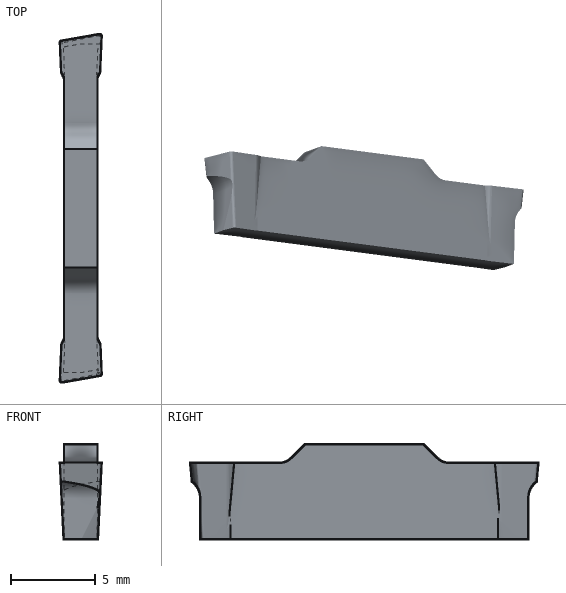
import cadquery as cq
import math


overall_length = 20.7
overall_height = 5.65
cutting_width = 2.5
rake_height = 4.55

body_width = 2.0
body_half_length = 7.95
rib_top_half_length = 3.53
rib_flank_angle = 45.0
rib_foot_radius = 1.0

lead_angle = 10.0
front_relief_angle = 5.0
side_relief_angle = 2.6
back_taper_angle = 2.5
corner_radius = 0.15
neck_y = 8.08
neck_radius = 0.35
flare_angle = 26.0
flare_run = 0.6
neck_fill_y = 8.2

heel_half_length = 9.75
step_height = 2.47
step_radius = 1.2


def tangent(angle):
    return math.tan(math.radians(angle))


corner_center_x = cutting_width / 2 - corner_radius
lead_corner_y = -overall_length / 2 + corner_radius
corner_center_y = {
    -1: lead_corner_y,
    1: lead_corner_y + 2 * corner_center_x * tangent(lead_angle),
}
edge_offset = corner_radius / math.cos(math.radians(lead_angle))
edge_y_at_center = (corner_center_y[-1] + corner_center_y[1]) / 2 - edge_offset


def flank_x(side, y, z):
    """X of the flank on side -1 or +1 of the -Y head, at a given Y and height."""
    taper = (y - corner_center_y[side]) * tangent(back_taper_angle)
    draft = (rake_height - z) * tangent(side_relief_angle)
    return side * (cutting_width / 2 - taper - draft)


def front_corner(side, z):
    """Sharp corner between the front face and the flank on the given side."""
    front_y = edge_y_at_center + (rake_height - z) * tangent(front_relief_angle)
    slope = tangent(lead_angle)
    y = (front_y + slope * flank_x(side, 0, z)) / (1 + side * slope * tangent(back_taper_angle))
    return flank_x(side, y, z), y


def neck_corner(side, z):
    """Sharp corner between the flank and the neck flare on the given side."""
    return flank_x(side, -neck_y, z), -neck_y


def flare_root(side, z):
    """Inner end of the neck flare, inside the body."""
    neck_x = neck_corner(side, z)[0]
    return neck_x - side * flare_run * tangent(flare_angle), flare_run - neck_y


def straight_outline(z):
    """Head outline whose flanks run straight back to the end of the body."""
    return [
        front_corner(-1, z),
        front_corner(1, z),
        (flank_x(1, -body_half_length, z), -body_half_length),
        (flank_x(-1, -body_half_length, z), -body_half_length),
    ]


def flared_outline(z):
    """Head outline whose flanks close in through the neck flare into the body."""
    return [
        front_corner(-1, z),
        front_corner(1, z),
        neck_corner(1, z),
        flare_root(1, z),
        flare_root(-1, z),
        neck_corner(-1, z),
    ]


def drafted_solid(outline):
    """Solid between an outline at the base and the same outline at rake height."""
    return (
        cq.Workplane("XY")
        .polyline(outline(0))
        .close()
        .workplane(offset=rake_height)
        .polyline(outline(rake_height))
        .close()
        .loft(ruled=True)
    )


def round_corner(solid, corner, side, radius):
    """Round the upright edge that joins a corner's base and rake-height points."""
    base_x, base_y = corner(side, 0)
    top_x, top_y = corner(side, rake_height)
    middle = ((base_x + top_x) / 2, (base_y + top_y) / 2, rake_height / 2)
    return solid.edges(cq.NearestToPointSelector(middle)).fillet(radius)


def make_body():
    """Body with its clamping rib, extruded across the width."""
    flank = math.radians(rib_flank_angle)
    foot_height = rake_height + rib_foot_radius * (1 - math.cos(flank))
    foot_y = rib_top_half_length + (overall_height - foot_height) / math.tan(flank)
    foot_end_y = foot_y + rib_foot_radius * math.sin(flank)
    arc_mid_y = foot_end_y - rib_foot_radius * math.sin(flank / 2)
    arc_mid_z = rake_height + rib_foot_radius * (1 - math.cos(flank / 2))
    return (
        cq.Workplane("YZ")
        .moveTo(-body_half_length, 0)
        .lineTo(body_half_length, 0)
        .lineTo(body_half_length, rake_height)
        .lineTo(foot_end_y, rake_height)
        .threePointArc((arc_mid_y, arc_mid_z), (foot_y, foot_height))
        .lineTo(rib_top_half_length, overall_height)
        .lineTo(-rib_top_half_length, overall_height)
        .lineTo(-foot_y, foot_height)
        .threePointArc((-arc_mid_y, arc_mid_z), (-foot_end_y, rake_height))
        .lineTo(-body_half_length, rake_height)
        .close()
        .extrude(body_width / 2, both=True)
    )


def make_neck():
    """Continuation of the body up to the flanks, trimmed to the flank draft."""
    block = cq.Workplane("XY").box(
        body_width, 2 * neck_fill_y, rake_height, centered=(True, True, False)
    )
    return drafted_solid(straight_outline).intersect(block)


def make_step_cutter():
    """Material removed under the cutting edge: a heel face that curves outwards."""
    center_y = -heel_half_length - step_radius
    diagonal = step_radius * math.sqrt(0.5)
    return (
        cq.Workplane("YZ")
        .moveTo(center_y, 0)
        .lineTo(-heel_half_length, 0)
        .lineTo(-heel_half_length, step_height)
        .threePointArc(
            (center_y + diagonal, step_height + diagonal),
            (center_y, step_height + step_radius),
        )
        .close()
        .extrude(cutting_width, both=True)
    )


def make_head():
    """Cutting head at the -Y end."""
    head = drafted_solid(flared_outline)
    for side in (-1, 1):
        head = round_corner(head, front_corner, side, corner_radius)
        head = round_corner(head, neck_corner, side, neck_radius)
    return head.union(make_neck()).cut(make_step_cutter())


head = make_head()
opposite_head = head.mirror("XZ").mirror("YZ")
result = make_body().union(head).union(opposite_head).clean()